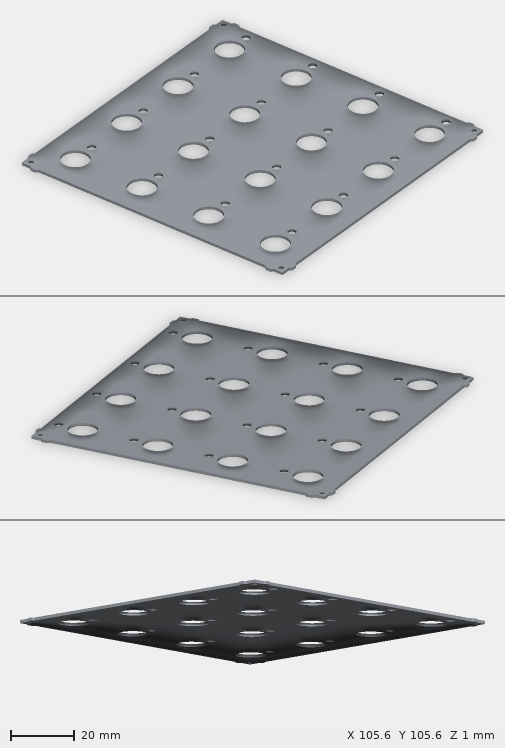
import cadquery as cq
import math

plate_side = 104.0
thickness = 1.0
half_side = plate_side / 2

tab_height = 0.8
tab_width = 2.9
tab_from_corner = 5.1

corner_hole_diameter = 1.75
corner_hole_inset = 2.05

grid_count = 4
grid_pitch = 26.63
large_hole_diameter = 9.75
small_hole_diameter = 2.95
small_hole_offset = 8.5


def make_tab_pair():
    """Two tabs on the +Y side, one near each end."""
    tab_center = half_side - tab_from_corner
    half_width = tab_width / 2
    half_tip = half_width - tab_height
    tip_y = half_side + tab_height
    arc_reach = tab_height * math.sin(math.radians(45))
    arc_mid_x = half_tip + arc_reach
    arc_mid_y = half_side + arc_reach
    tab = (
        cq.Workplane("XY")
        .center(tab_center, 0)
        .moveTo(-half_width, half_side)
        .threePointArc((-arc_mid_x, arc_mid_y), (-half_tip, tip_y))
        .lineTo(half_tip, tip_y)
        .threePointArc((arc_mid_x, arc_mid_y), (half_width, half_side))
        .close()
        .extrude(thickness)
    )
    return tab.union(tab.mirror("YZ"))


def make_plate():
    plate = cq.Workplane("XY").rect(plate_side, plate_side).extrude(thickness)
    tab_pair = make_tab_pair()
    for angle in (0, 90, 180, 270):
        plate = plate.union(tab_pair.rotate((0, 0, 0), (0, 0, 1), angle))
    return plate


def drill(body, centers, diameter):
    """Cut vertical through holes at the given centers."""
    holes = cq.Workplane("XY").pushPoints(centers).circle(diameter / 2).extrude(thickness)
    return body.cut(holes)


grid_steps = [(i - (grid_count - 1) / 2) * grid_pitch for i in range(grid_count)]
large_centers = [(x, y) for x in grid_steps for y in grid_steps]
small_centers = [(x, y + small_hole_offset) for x, y in large_centers]

corner_position = half_side - corner_hole_inset
corner_centers = [(x * corner_position, y * corner_position) for x in (-1, 1) for y in (-1, 1)]

result = make_plate()
result = drill(result, large_centers, large_hole_diameter)
result = drill(result, small_centers, small_hole_diameter)
result = drill(result, corner_centers, corner_hole_diameter)